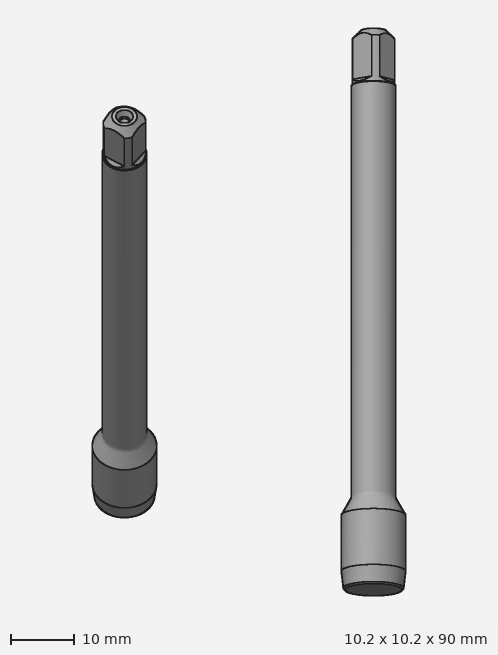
import cadquery as cq
import math

total_length = 90.0
cap_height = 3.0
collar_top_z = 12.0
neck_z = 14.8
shaft_top_z = 81.1
flat_bottom_z = 82.0

collar_radius = 10.2 / 2
shaft_radius = 7.0 / 2
drive_radius = 6.75 / 2
tip_radius = 2.0
neck_fillet = 1.1
pick_margin = 0.1

square_width = 5.6
half_square = square_width / 2
ramp_reach = 0.9

centre_hole_radius = 1.6 / 2
countersink_radius = 1.35
centre_hole_depth = 1.4
drill_point_angle = 118.0
countersink_angle = 60.0

cap_edge_radius = 4.8
cap_chamfer = 0.3


def driver_blank():
    """Collar, shaft and round drive end as one turned solid."""
    tip_chamfer = drive_radius - tip_radius
    shoulder_chamfer = shaft_radius - drive_radius
    profile = (
        cq.Workplane("XZ")
        .moveTo(0, cap_height)
        .lineTo(collar_radius, cap_height)
        .lineTo(collar_radius, collar_top_z)
        .lineTo(shaft_radius, neck_z)
        .lineTo(shaft_radius, shaft_top_z)
        .lineTo(drive_radius, shaft_top_z + shoulder_chamfer)
        .lineTo(drive_radius, total_length - tip_chamfer)
        .lineTo(tip_radius, total_length)
        .lineTo(0, total_length)
        .close()
    )
    blank = profile.revolve(360, (0, 0, 0), (0, 1, 0))
    neck_edge = cq.selectors.BoxSelector(
        (-collar_radius, -collar_radius, neck_z - pick_margin),
        (collar_radius, collar_radius, neck_z + pick_margin),
        boundingbox=False,
    )
    return blank.edges(neck_edge).fillet(neck_fillet)


def flat_cutter():
    """Material beside the +X flat, ending in a ramp down and outward."""
    return (
        cq.Workplane("XZ")
        .moveTo(half_square, flat_bottom_z)
        .lineTo(half_square + ramp_reach, flat_bottom_z - ramp_reach)
        .lineTo(half_square + ramp_reach, total_length)
        .lineTo(half_square, total_length)
        .close()
        .extrude(shaft_radius, both=True)
    )


def centre_hole():
    """Countersunk hole with a conical drill point."""
    countersink_step = countersink_radius - centre_hole_radius
    countersink_depth = countersink_step / math.tan(math.radians(countersink_angle / 2))
    point_depth = centre_hole_radius / math.tan(math.radians(drill_point_angle / 2))
    hole_floor_z = total_length - centre_hole_depth
    return (
        cq.Workplane("XZ")
        .moveTo(0, total_length)
        .lineTo(countersink_radius, total_length)
        .lineTo(centre_hole_radius, total_length - countersink_depth)
        .lineTo(centre_hole_radius, hole_floor_z)
        .lineTo(0, hole_floor_z - point_depth)
        .close()
        .revolve(360, (0, 0, 0), (0, 1, 0))
    )


def make_driver():
    """Shaft with collar and square drive."""
    driver = driver_blank()
    for angle in (0, 90, 180, 270):
        driver = driver.cut(flat_cutter().rotate((0, 0, 0), (0, 0, 1), angle))
    return driver.cut(centre_hole())


def make_end_cap():
    """Tapered cap that closes the collar end."""
    return (
        cq.Workplane("XZ")
        .lineTo(cap_edge_radius - cap_chamfer, 0)
        .lineTo(cap_edge_radius, cap_chamfer)
        .lineTo(collar_radius, cap_height)
        .lineTo(0, cap_height)
        .close()
        .revolve(360, (0, 0, 0), (0, 1, 0))
    )


driver = make_driver()
end_cap = make_end_cap()
result = cq.Compound.makeCompound([driver.val(), end_cap.val()])